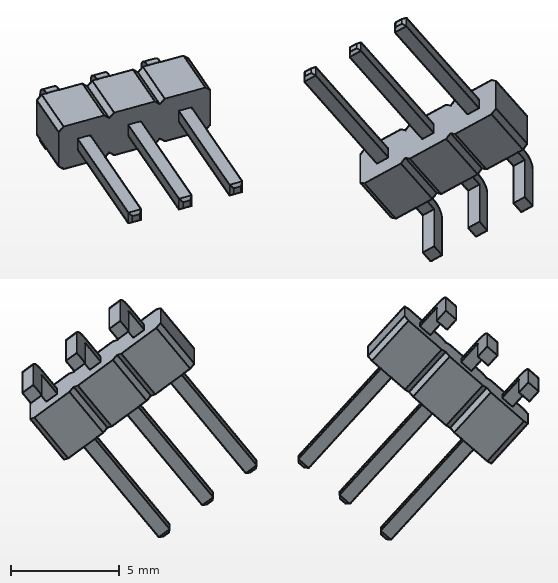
import cadquery as cq

pin_count = 3
row_width = 7.62
overall_length = 10.36
overall_height = 4.34
pin_width = 0.64
tip_chamfer = 0.15
body_offset = 1.8
body_depth = 2.54
body_height = 2.54
body_chamfer = 0.25

half_pin = pin_width / 2
leg_bottom = body_height / 2 - overall_height
pitch = row_width / pin_count
pin_places = [(i - (pin_count - 1) / 2) * pitch for i in range(pin_count)]


def housing_segment(y):
    """One octagonal housing block; neighbouring chamfers form the V grooves."""
    return (
        cq.Workplane("XY")
        .box(body_depth, pitch, body_height)
        .edges("|X")
        .chamfer(body_chamfer)
        .translate((body_offset + body_depth / 2, y, 0))
    )


def bent_pin(y):
    """Right-angle square pin with a rounded outer bend and a tapered tip."""
    pin = (
        cq.Workplane("XZ")
        .moveTo(0, leg_bottom)
        .lineTo(0, -half_pin)
        .radiusArc((pin_width, half_pin), pin_width)
        .lineTo(overall_length, half_pin)
        .lineTo(overall_length, -half_pin)
        .lineTo(pin_width, -half_pin)
        .lineTo(pin_width, leg_bottom)
        .close()
        .extrude(half_pin, both=True)
        .faces(">X")
        .chamfer(tip_chamfer)
    )
    return pin.translate((0, y, 0))


result = cq.Workplane("XY")
for place in pin_places:
    result = result.union(housing_segment(place)).union(bent_pin(place))